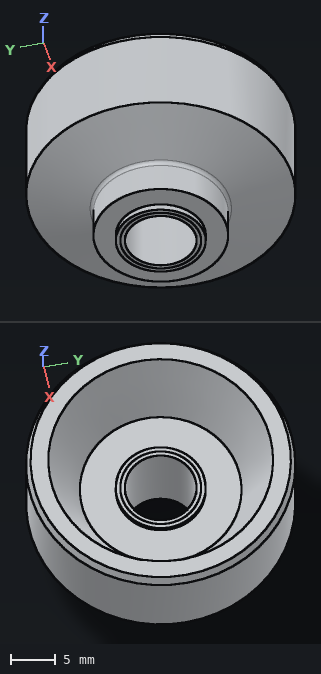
import cadquery as cq

rim_radius = 15.0
rim_chamfer_width = 0.5
rim_chamfer_height = 1.0
rim_bottom_z = 7.0
total_height = 18.0

dish_top_radius = 12.5
dish_floor_radius = 9.0
dish_floor_z = 10.5

hub_radius = 7.5
hub_bottom_z = 0.8
hub_top_z = 4.8
hub_fillet_radius = 0.5
ring_radius = 5.0
upper_ring_height = 0.5

sleeve_outer_radius = 4.5
sleeve_inner_radius = 4.0
sleeve_top_z = dish_floor_z + upper_ring_height


def make_wheel():
    """Dished wheel with a hub, turned from one half-section in the XZ plane."""
    body = (
        cq.Workplane("XZ")
        .moveTo(sleeve_outer_radius, 0)
        .lineTo(ring_radius, 0)
        .lineTo(ring_radius, hub_bottom_z)
        .lineTo(hub_radius, hub_bottom_z)
        .lineTo(hub_radius, hub_top_z)
        .lineTo(rim_radius, rim_bottom_z)
        .lineTo(rim_radius, total_height - rim_chamfer_height)
        .lineTo(rim_radius - rim_chamfer_width, total_height)
        .lineTo(dish_top_radius, total_height)
        .lineTo(dish_floor_radius, dish_floor_z)
        .lineTo(ring_radius, dish_floor_z)
        .lineTo(ring_radius, sleeve_top_z)
        .lineTo(sleeve_outer_radius, sleeve_top_z)
        .close()
        .revolve(360, (0, 0, 0), (0, 1, 0))
    )
    hub_corner = cq.selectors.BoxSelector(
        (-rim_radius, -rim_radius, hub_top_z - hub_fillet_radius),
        (rim_radius, rim_radius, hub_top_z + hub_fillet_radius),
        boundingbox=True,
    )
    return body.edges("%CIRCLE").edges(hub_corner).fillet(hub_fillet_radius)


def make_sleeve():
    """Plain sleeve filling the bore from end to end."""
    return (
        cq.Workplane("XY")
        .circle(sleeve_outer_radius)
        .circle(sleeve_inner_radius)
        .extrude(sleeve_top_z)
    )


wheel = make_wheel()
sleeve = make_sleeve()

result = cq.Compound.makeCompound([wheel.val(), sleeve.val()])